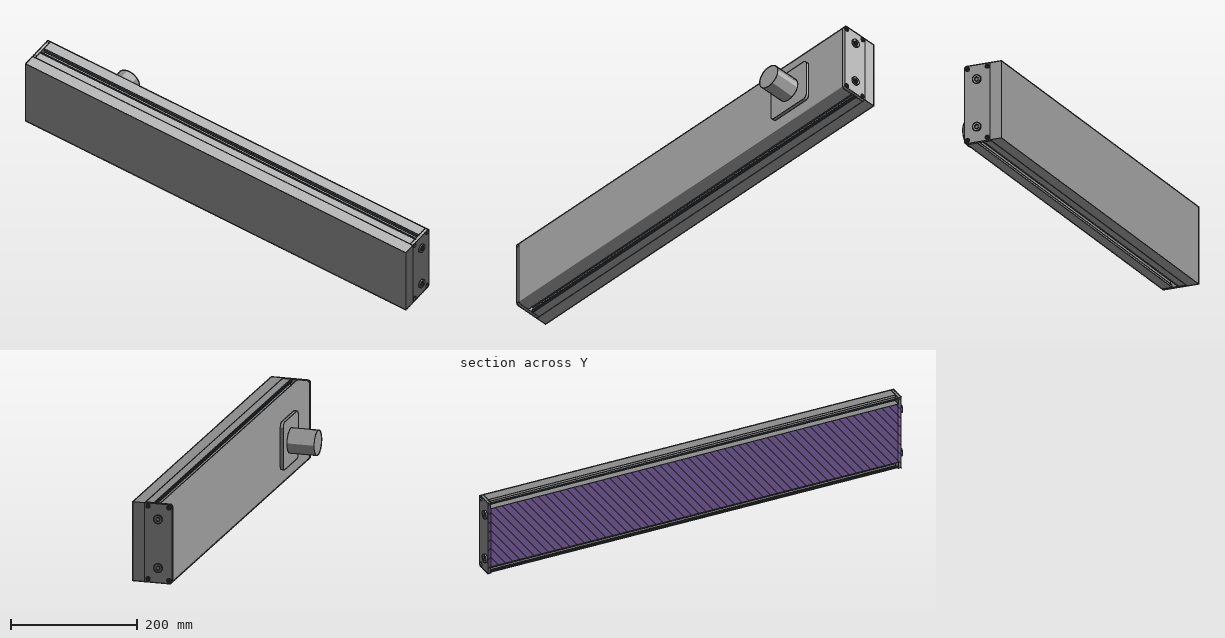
import cadquery as cq

overall_length = 736.0
overall_depth = 115.0
height = 130.0
screw_head_height = 3.0
panel_depth = 20.0
rail_depth = 45.0
end_cap_thickness = 5.0
rear_edge_radius = 4.5

slot_front_offset = 16.0
slot_width = 8.0
slot_depth = 11.0
slot_lip_thickness = 4.0
slot_undercut = 3.0
rebate_width = 2.0
rebate_depth = 1.5

screw_head_diameter = 14.0
socket_across_corners = 7.0
socket_depth = 2.0
screw_spacing = 80.0

corner_counterbore_diameter = 6.5
corner_bore_diameter = 4.0
corner_hole_inset = 5.0
corner_counterbore_depth = end_cap_thickness / 2

flange_size = 79.0
flange_thickness = 5.0
flange_corner_radius = 7.0
spigot_diameter = 40.5
spigot_offset_from_end = 120.0

body_length = overall_length - 2 * screw_head_height
rail_length = body_length - 2 * end_cap_thickness
body_depth = panel_depth + rail_depth
half_height = height / 2
spigot_length = overall_depth - body_depth - flange_thickness
spigot_x = spigot_offset_from_end - body_length / 2


def rear_section(length, x_start):
    """Block behind the panel with its two rear long edges rounded."""
    block = cq.Workplane("XY").box(length, rail_depth, height, centered=(False, False, True))
    block = block.edges("|X and >Y").fillet(rear_edge_radius)
    return block.translate((x_start, panel_depth, 0))


def make_panel():
    """Plain front panel over the full body length."""
    return cq.Workplane("XY").box(body_length, panel_depth, height, centered=(True, False, True))


def slot_box(front_offset, width, top_gap, bottom_gap):
    """Full-length bar inside the rail's top edge, between two depths below the top face."""
    bar = cq.Workplane("XY").box(rail_length, width, bottom_gap - top_gap, centered=(True, False, False))
    return bar.translate((0, panel_depth + front_offset, half_height - bottom_gap))


def make_rail():
    """Long profile with an undercut slot, rebated along its front lip, in its top and bottom."""
    rail = rear_section(rail_length, -rail_length / 2)
    opening = slot_box(slot_front_offset, slot_width, 0, slot_depth)
    undercut = slot_box(
        slot_front_offset - slot_undercut, slot_width + 2 * slot_undercut, slot_lip_thickness, slot_depth
    )
    rebate = slot_box(slot_front_offset - rebate_width, rebate_width, 0, rebate_depth)
    for bar in (opening, undercut, rebate):
        rail = rail.cut(bar).cut(bar.mirror("XY"))
    return rail


def make_end_cap(side):
    """Plate closing the rail at side -1 or +1, with two hex-socket heads and four counterbored corners."""
    cap = rear_section(end_cap_thickness, -body_length / 2)
    outer = cq.Workplane("YZ", origin=(-body_length / 2, panel_depth + rail_depth / 2, 0))
    heads = outer.rarray(7, screw_spacing, 1, 2).circle(screw_head_diameter / 2).extrude(-screw_head_height)
    sockets = (
        outer.workplane(offset=-screw_head_height).transformed(rotate=(0, 0, 90))
        .rarray(screw_spacing, 7, 2, 1).polygon(6, socket_across_corners).extrude(socket_depth)
    )
    cap = cap.union(heads).cut(sockets)
    holes = outer.rarray(rail_depth - 2 * corner_hole_inset, height - 2 * corner_hole_inset, 2, 2)
    cap = cap.cut(holes.circle(corner_counterbore_diameter / 2).extrude(corner_counterbore_depth))
    cap = cap.cut(holes.circle(corner_bore_diameter / 2).extrude(end_cap_thickness))
    return cap if side < 0 else cap.mirror("YZ")


def make_connector():
    """Round spigot on a square flange, standing on the back of the rail."""
    flange = (
        cq.Workplane("XZ", origin=(spigot_x, body_depth, 0))
        .rect(flange_size, flange_size).extrude(-flange_thickness)
        .edges("|Y").fillet(flange_corner_radius)
    )
    return flange.faces(">Y").workplane().circle(spigot_diameter / 2).extrude(spigot_length)


panel = make_panel()
rail = make_rail()
end_caps = [make_end_cap(side) for side in (-1, 1)]
connector = make_connector()
result = cq.Compound.makeCompound(
    [panel.val(), rail.val(), *[cap.val() for cap in end_caps], connector.val()]
)